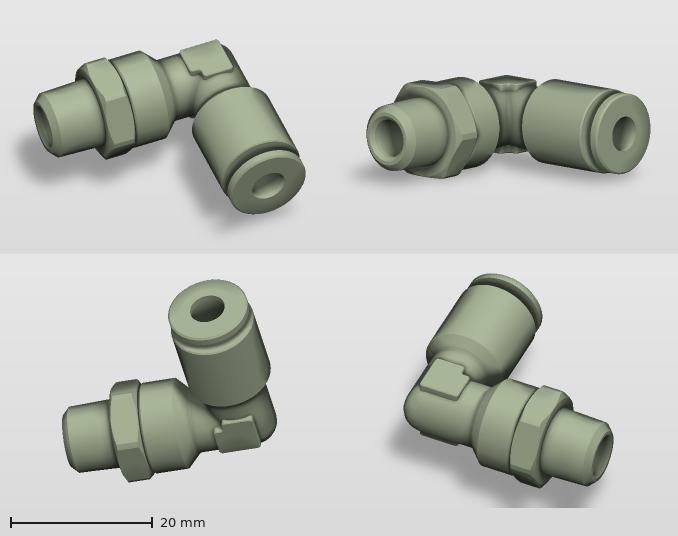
import cadquery as cq
import math


PIPE_RADIUS = 4.5
OUTER_CORNER_RADIUS = 2.5
INNER_CORNER_RADIUS = 0.5
MITRE_BAND = 0.94
SHOULDER_FILLET = 0.47
ELBOW_BORE_RADIUS = 2.5

PLATE_NEAR = 2.25
PLATE_FAR = 3.75
PLATE_HEIGHT = 5.0
PLATE_CORNER_RADIUS = 0.5
PLATE_EDGE_CHAMFER = 0.13

HEX_FLATS = 13.0
SLEEVE_RADIUS = HEX_FLATS / 2
SLEEVE_START = 8.75
SLEEVE_END = 13.65
SLEEVE_CHAMFER = 0.25
GROOVE_RADIUS = 5.48
HEX_START = 13.85
HEX_LENGTH = 4.0
HEX_END = HEX_START + HEX_LENGTH
HEX_SIDES = 6
HEX_TURN = 180 / HEX_SIDES
HEX_CORNER_RADIUS = 7.25
HEX_FACE_RADIUS = 6.42
HEX_CHAMFER_ANGLE = 30
STEM_END = 25.3
THREAD_RADIUS = 4.95
THREAD_TAPER = 1 / 16
THREAD_CHAMFER = 0.97
STEM_BORE_RADIUS = 2.72
STEM_BORE_CHAMFER = 0.53
BORE_TIP_ANGLE = 118
PASSAGE_RADIUS = 1.72

SOCKET_RADIUS = 6.0
SOCKET_START = 8.33
SOCKET_END = 19.47
SOCKET_CHAMFER = 0.2
COLLET_RADIUS = 3.65
COLLAR_RADIUS = 4.5
COLLAR_HEIGHT = 0.22
FLANGE_RADIUS = 5.75
FLANGE_START = 21.15
FLANGE_END = 22.38
FLANGE_CHAMFER = 0.25
FLANGE_FILLET = 0.2


def stem_revolve(profile):
    """Turn (radius, distance) points about the stem axis."""
    points = [(radius, -distance) for radius, distance in profile]
    return cq.Workplane("XY").polyline(points).close().revolve(360, (0, 0), (0, 1))


def socket_revolve(profile):
    """Turn (radius, distance) points about the socket axis."""
    points = [(distance, radius) for radius, distance in profile]
    return cq.Workplane("XY").polyline(points).close().revolve(360, (0, 0), (1, 0))


def fillet_ring(body, centre, radius):
    """Round the circular edge whose centre is nearest to the given point."""
    return body.edges(cq.NearestToPointSelector(centre)).fillet(radius)


def make_elbow():
    """Mitred pipe with its outer and inner corners rounded."""
    path = cq.Workplane("XY").polyline([(0, -SLEEVE_START), (0, 0), (SOCKET_START, 0)])
    pipe = (
        cq.Workplane("XZ", origin=(0, -SLEEVE_START, 0))
        .circle(PIPE_RADIUS)
        .sweep(path, transition="right")
    )
    band_size = 4 * SLEEVE_START
    band = cq.Workplane("XY").box(band_size, band_size, 2 * PIPE_RADIUS * MITRE_BAND)
    middle = pipe.intersect(band)
    for side, radius in ((-1, OUTER_CORNER_RADIUS), (1, INNER_CORNER_RADIUS)):
        corner = (side * PIPE_RADIUS, -side * PIPE_RADIUS, 0)
        middle = middle.edges(cq.NearestToPointSelector(corner)).fillet(radius)
    return pipe.cut(band).union(middle)


def make_plates():
    """L-shaped block whose two faces form the grip plates."""
    return (
        cq.Workplane("XY")
        .workplane(offset=-PLATE_HEIGHT)
        .polyline([
            (-PLATE_NEAR, PLATE_NEAR),
            (PLATE_FAR, PLATE_NEAR),
            (PLATE_FAR, -PLATE_NEAR),
            (PLATE_NEAR, -PLATE_NEAR),
            (PLATE_NEAR, -PLATE_FAR),
            (-PLATE_NEAR, -PLATE_FAR),
        ])
        .close()
        .extrude(2 * PLATE_HEIGHT)
        .edges("|Z")
        .fillet(PLATE_CORNER_RADIUS)
        .faces("<Z or >Z")
        .edges()
        .chamfer(PLATE_EDGE_CHAMFER)
    )


def make_sleeve():
    """Cone, sleeve and the narrow neck joining it to the hex."""
    cone_start = SLEEVE_START - (SLEEVE_RADIUS - PIPE_RADIUS)
    sleeve = stem_revolve([
        (0, PIPE_RADIUS),
        (PIPE_RADIUS, PIPE_RADIUS),
        (PIPE_RADIUS, cone_start),
        (SLEEVE_RADIUS, SLEEVE_START),
        (SLEEVE_RADIUS, SLEEVE_END - SLEEVE_CHAMFER),
        (SLEEVE_RADIUS - SLEEVE_CHAMFER, SLEEVE_END),
        (GROOVE_RADIUS, SLEEVE_END),
        (GROOVE_RADIUS, HEX_START),
        (0, HEX_START),
    ])
    return fillet_ring(sleeve, (0, -cone_start, 0), SHOULDER_FILLET)


def make_hex():
    """Wrench hexagon with turned and chamfered corners."""
    hexagon = (
        cq.Workplane("XZ", origin=(0, -HEX_START, 0))
        .transformed(rotate=(0, 0, HEX_TURN))
        .polygon(HEX_SIDES, HEX_FLATS, circumscribed=True)
        .extrude(HEX_LENGTH)
    )
    chamfer_slope = math.tan(math.radians(HEX_CHAMFER_ANGLE))
    chamfer_length = (HEX_CORNER_RADIUS - HEX_FACE_RADIUS) * chamfer_slope
    turned = stem_revolve([
        (0, HEX_START),
        (HEX_FACE_RADIUS, HEX_START),
        (HEX_CORNER_RADIUS, HEX_START + chamfer_length),
        (HEX_CORNER_RADIUS, HEX_END - chamfer_length),
        (HEX_FACE_RADIUS, HEX_END),
        (0, HEX_END),
    ])
    return hexagon.intersect(turned)


def make_thread():
    """Plain tapered envelope of the pipe thread, with a 45-degree tip."""
    taper_end = STEM_END - THREAD_CHAMFER
    tip_radius = THREAD_RADIUS - (taper_end - HEX_END) * THREAD_TAPER / 2
    return stem_revolve([
        (0, HEX_END),
        (THREAD_RADIUS, HEX_END),
        (tip_radius, taper_end),
        (tip_radius - THREAD_CHAMFER, STEM_END),
        (0, STEM_END),
    ])


def make_socket():
    """Cone, socket barrel, collet and release flange."""
    cone_start = SOCKET_START - (SOCKET_RADIUS - PIPE_RADIUS)
    socket = socket_revolve([
        (0, PIPE_RADIUS),
        (PIPE_RADIUS, PIPE_RADIUS),
        (PIPE_RADIUS, cone_start),
        (SOCKET_RADIUS, SOCKET_START),
        (SOCKET_RADIUS, SOCKET_END - SOCKET_CHAMFER),
        (SOCKET_RADIUS - SOCKET_CHAMFER, SOCKET_END),
        (COLLAR_RADIUS, SOCKET_END),
        (COLLET_RADIUS, SOCKET_END + COLLAR_HEIGHT),
        (COLLET_RADIUS, FLANGE_START),
        (FLANGE_RADIUS, FLANGE_START),
        (FLANGE_RADIUS, FLANGE_END - FLANGE_CHAMFER),
        (FLANGE_RADIUS - FLANGE_CHAMFER, FLANGE_END),
        (0, FLANGE_END),
    ])
    socket = fillet_ring(socket, (cone_start, 0, 0), SHOULDER_FILLET)
    flange_root = cq.selectors.BoxSelector(
        (FLANGE_START - FLANGE_FILLET, -FLANGE_FILLET, -FLANGE_FILLET),
        (FLANGE_START + FLANGE_FILLET, FLANGE_FILLET, FLANGE_FILLET),
    )
    smallest_ring = cq.selectors.RadiusNthSelector(0)
    return socket.edges(flange_root).edges(smallest_ring).fillet(FLANGE_FILLET)


def make_bores():
    """Stem bore, narrow passage, and elbow bore that turns the corner and leaves through the socket."""
    half_tip = math.radians(BORE_TIP_ANGLE / 2)
    tip_length = (STEM_BORE_RADIUS - PASSAGE_RADIUS) / math.tan(half_tip)
    stem_bore = stem_revolve([
        (0, 0),
        (ELBOW_BORE_RADIUS, 0),
        (ELBOW_BORE_RADIUS, SLEEVE_START),
        (PASSAGE_RADIUS, SLEEVE_START),
        (PASSAGE_RADIUS, HEX_START - tip_length),
        (STEM_BORE_RADIUS, HEX_START),
        (STEM_BORE_RADIUS, STEM_END - STEM_BORE_CHAMFER),
        (STEM_BORE_RADIUS + STEM_BORE_CHAMFER, STEM_END),
        (0, STEM_END),
    ])
    socket_bore = cq.Workplane("YZ").circle(ELBOW_BORE_RADIUS).extrude(FLANGE_END)
    corner = cq.Workplane("XY").sphere(ELBOW_BORE_RADIUS)
    return stem_bore.union(socket_bore).union(corner)


result = (
    make_elbow()
    .union(make_plates())
    .union(make_sleeve())
    .union(make_hex())
    .union(make_thread())
    .union(make_socket())
    .cut(make_bores())
)